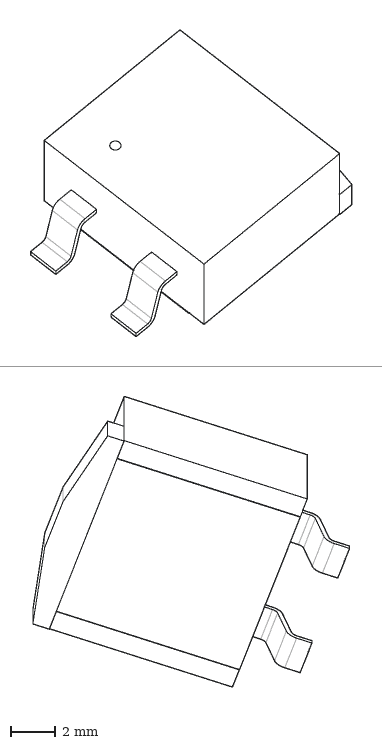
import cadquery as cq
import math

housing_width = 10.105
housing_length = 8.804
housing_height = 4.5
front_y = -housing_length / 2
back_y = housing_length / 2

tab_standoff = 0.05
tab_thickness = 1.5
tab_reach = 1.583
tab_taper_length = 0.79
tab_end_width = 2.46
pad_width = 8.2

lead_pitch = 5.08
lead_width = 1.597
lead_thickness = 0.254
lead_reach = 2.643
lead_top_z = 2.38
lead_shoulder = 0.745
lead_angle = math.radians(75)
inner_radius = lead_thickness
outer_radius = inner_radius + lead_thickness

marker_diameter = 0.51
marker_depth = 0.1
marker_x = -lead_pitch / 2
marker_from_front = 2.04


def make_tab():
    """Block with a tapered end behind the housing, joined to a thin pad along the housing underside."""
    half_width = housing_width / 2
    half_end = tab_end_width / 2
    tip_y = back_y + tab_reach
    taper_y = tip_y - tab_taper_length
    outline = [
        (half_width, back_y),
        (half_width, taper_y),
        (half_end, tip_y),
        (-half_end, tip_y),
        (-half_width, taper_y),
        (-half_width, back_y),
    ]
    underside = cq.Workplane("XY", origin=(0, 0, -tab_standoff))
    block = underside.polyline(outline).close().extrude(tab_thickness)
    pad = underside.rect(pad_width, housing_length).extrude(tab_standoff)
    return block.union(pad)


def make_marker():
    """Thin round disc let into the housing top."""
    center = (marker_x, front_y + marker_from_front, housing_height - marker_depth)
    return cq.Workplane("XY", origin=center).circle(marker_diameter / 2).extrude(marker_depth)


def make_housing(marker):
    """Plain block with a recess that the marker fills."""
    block = cq.Workplane("XY").rect(housing_width, housing_length).extrude(housing_height)
    return block.cut(marker)


def make_lead(center_x):
    """Strip of constant thickness: level shoulder, sloping leg and level foot."""
    upper_y = front_y - lead_shoulder
    upper_z = lead_top_z - outer_radius
    lower_z = outer_radius
    drop = upper_z - lower_z
    radius_sum = outer_radius + inner_radius
    lower_y = upper_y - (radius_sum + drop * math.cos(lead_angle)) / math.sin(lead_angle)

    def on_upper_bend(radius, angle):
        """Point on the upper bend, turned by angle from the shoulder toward the leg."""
        return (upper_y - radius * math.sin(angle), upper_z + radius * math.cos(angle))

    def on_lower_bend(radius, angle):
        """Point on the lower bend, turned by angle from the foot toward the leg."""
        return (lower_y + radius * math.sin(angle), lower_z - radius * math.cos(angle))

    half_angle = lead_angle / 2
    toe_y = front_y - lead_reach
    return (
        cq.Workplane("YZ", origin=(center_x - lead_width / 2, 0, 0))
        .moveTo(front_y, lead_top_z)
        .lineTo(*on_upper_bend(outer_radius, 0))
        .threePointArc(on_upper_bend(outer_radius, half_angle), on_upper_bend(outer_radius, lead_angle))
        .lineTo(*on_lower_bend(inner_radius, lead_angle))
        .threePointArc(on_lower_bend(inner_radius, half_angle), on_lower_bend(inner_radius, 0))
        .lineTo(toe_y, lead_thickness)
        .lineTo(toe_y, 0)
        .lineTo(*on_lower_bend(outer_radius, 0))
        .threePointArc(on_lower_bend(outer_radius, half_angle), on_lower_bend(outer_radius, lead_angle))
        .lineTo(*on_upper_bend(inner_radius, lead_angle))
        .threePointArc(on_upper_bend(inner_radius, half_angle), on_upper_bend(inner_radius, 0))
        .lineTo(front_y, lead_top_z - lead_thickness)
        .close()
        .extrude(lead_width)
    )


marker = make_marker()
housing = make_housing(marker)
tab = make_tab()
leads = [make_lead(side * lead_pitch / 2) for side in (-1, 1)]

result = cq.Compound.makeCompound([
    housing.val(),
    tab.val(),
    marker.val(),
    *[lead.val() for lead in leads],
])